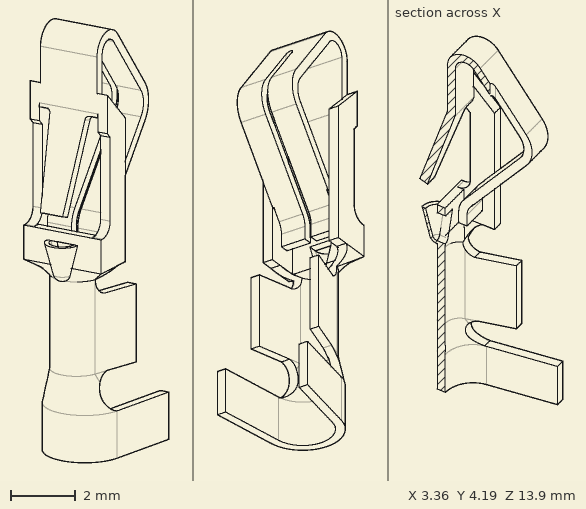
import cadquery as cq
import math


sheet = 0.3

insulation_top = 1.55
insulation_radius = 1.32
insulation_tip_half = 1.68
insulation_tip_y = 3.55
wire_bottom = 2.8
wire_top = 5.35
wire_radius = 0.84
wire_tip_half = 1.27
wire_tip_y = 2.31
flare_start = 5.87
relief_apex_y = 0.64
lower_relief_edge_y = 1.11
upper_relief_edge_y = 1.0

box_bottom = 6.33
box_half_width = 1.4
box_wall = 0.35
box_inner_half = box_half_width - box_wall
box_back_y = 1.43
floor_top = 7.45
floor_step_radius = 0.46
wall_front_y = 0.54
plate_y = 0.38
plate_inner_y = plate_y + sheet
plate_bottom_corner = 10.8
window_top = 11.39
plate_top = 12.05
shoulder_z = 11.02

overall_height = 13.92
spring_half_width = 1.03
top_bend_radius = 0.68
apex_bend_radius = 1.0
apex_y = 3.42
apex_z = 11.0
tongue_bend_radius = 0.92
tongue_face_y = 0.72
tongue_end_z = 6.96
tongue_half_width = 0.99
tongue_step_z = 8.16
spring_slot_half = 0.11
spring_slot_end_y = 1.96

lance_tip_y = -0.64
lance_tip_z = 8.2
lance_root_half = 0.64
lance_tip_half = 0.4
lance_root_length = 0.13
lance_corner_radius = 0.13

horn_top = 7.11
horn_radius = 0.55
horn_slope = 0.265
horn_tip_center_z = 6.15
horn_wall = 0.14


def closed_section(z, tip, base, arc_bottom_y=None):
    """Closed trough section at height z, its floor an arc or a straight line."""
    tip_left = cq.Vector(-tip[0], tip[1], z)
    tip_right = cq.Vector(tip[0], tip[1], z)
    base_left = cq.Vector(-base[0], base[1], z)
    base_right = cq.Vector(base[0], base[1], z)
    if arc_bottom_y is None:
        floor = cq.Edge.makeLine(base_left, base_right)
    else:
        bottom = cq.Vector(0, arc_bottom_y, z)
        floor = cq.Edge.makeThreePointArc(base_left, bottom, base_right)
    return cq.Wire.assembleEdges([
        cq.Edge.makeLine(tip_left, base_left),
        floor,
        cq.Edge.makeLine(base_right, tip_right),
        cq.Edge.makeLine(tip_right, tip_left),
    ])


def barrel_sections(z, radius, tip_half, tip_y):
    """Outer and inner sections of a U barrel with wings tangent to its round floor."""
    tip_rise = tip_y - radius
    lean = math.acos(radius / math.hypot(tip_half, tip_rise)) - math.atan2(tip_rise, tip_half)
    sections = []
    for r in (radius, radius - sheet):
        tip = ((r + tip_rise * math.sin(lean)) / math.cos(lean), tip_y)
        tangent = (r * math.cos(lean), radius - r * math.sin(lean))
        sections.append(closed_section(z, tip, tangent, radius - r))
    return sections


def insulation_sections(z):
    return barrel_sections(z, insulation_radius, insulation_tip_half, insulation_tip_y)


def wire_sections(z):
    return barrel_sections(z, wire_radius, wire_tip_half, wire_tip_y)


def box_sections(z):
    outer = closed_section(z, (box_half_width, box_back_y), (box_half_width, 0))
    inner = closed_section(z, (box_inner_half, box_back_y), (box_inner_half, sheet))
    return [outer, inner]


def trough(lower, upper):
    """Sheet trough between two pairs of outer and inner sections."""
    outer = cq.Solid.makeLoft([lower[0], upper[0]], True)
    inner = cq.Solid.makeLoft([lower[1], upper[1]], True)
    return cq.Workplane(outer).cut(cq.Workplane(inner))


def side_extrusion(outline, half_width):
    """Extrude a closed YZ outline to both sides of the middle plane."""
    return outline.extrude(half_width, both=True)


def side_relief(z_low, z_high, edge_y):
    """Rounded cutter that removes the wings between two sections."""
    outline = (
        cq.Workplane("YZ")
        .moveTo(edge_y, z_low)
        .threePointArc((relief_apex_y, (z_low + z_high) / 2), (edge_y, z_high))
        .lineTo(insulation_tip_y, z_high)
        .lineTo(insulation_tip_y, z_low)
        .close()
    )
    return side_extrusion(outline, insulation_tip_half)


def make_barrels():
    insulation = trough(insulation_sections(0), insulation_sections(insulation_top))
    wire = trough(wire_sections(wire_bottom), wire_sections(wire_top))
    lower_neck = trough(insulation_sections(insulation_top), wire_sections(wire_bottom))
    lower_neck = lower_neck.cut(side_relief(insulation_top, wire_bottom, lower_relief_edge_y))
    upper_neck = trough(wire_sections(wire_top), wire_sections(flare_start))
    flare = trough(wire_sections(flare_start), box_sections(box_bottom))
    relief = side_relief(wire_top, box_bottom, upper_relief_edge_y)
    return insulation.union(lower_neck).union(wire).union(upper_neck.cut(relief)).union(flare.cut(relief))


def make_box():
    corner_setback = wall_front_y - plate_y
    arc_y = wall_front_y - floor_step_radius
    arc_z = floor_top + floor_step_radius
    diagonal = floor_step_radius * math.sqrt(0.5)
    outline = (
        cq.Workplane("YZ")
        .moveTo(0, box_bottom)
        .lineTo(box_back_y, box_bottom)
        .lineTo(box_back_y, shoulder_z)
        .lineTo(plate_y, plate_top)
        .lineTo(plate_y, plate_bottom_corner)
        .lineTo(wall_front_y, plate_bottom_corner - corner_setback)
        .lineTo(wall_front_y, arc_z)
        .threePointArc((arc_y + diagonal, arc_z - diagonal), (arc_y, floor_top))
        .lineTo(0, floor_top)
        .close()
    )
    cavity = (
        cq.Workplane("YZ")
        .moveTo(sheet, box_bottom)
        .lineTo(box_back_y, box_bottom)
        .lineTo(box_back_y, plate_top)
        .lineTo(plate_inner_y, plate_top)
        .lineTo(plate_inner_y, window_top)
        .lineTo(0, window_top)
        .lineTo(0, floor_top)
        .lineTo(sheet, floor_top)
        .close()
    )
    return side_extrusion(outline, box_half_width).cut(side_extrusion(cavity, box_inner_half))


def polar_point(center, radius, angle):
    return (center[0] + radius * math.cos(angle), center[1] + radius * math.sin(angle))


def make_spring():
    top_center = (plate_y + top_bend_radius, overall_height - top_bend_radius)
    apex_center = (apex_y - apex_bend_radius, apex_z)
    top_mid_radius = top_bend_radius - sheet / 2
    apex_mid_radius = apex_bend_radius - sheet / 2
    tongue_mid_radius = tongue_bend_radius - sheet / 2

    run = apex_center[0] - top_center[0]
    drop = top_center[1] - apex_center[1]
    lean = math.atan2(run, drop) + math.asin((apex_bend_radius - top_bend_radius) / math.hypot(run, drop))

    arm_start = polar_point(apex_center, apex_mid_radius, -lean)
    tongue_center_y = tongue_face_y + tongue_bend_radius
    arm_end_y = tongue_center_y - tongue_mid_radius * math.cos(lean)
    arm_end_z = arm_start[1] - (arm_start[0] - arm_end_y) / math.tan(lean)
    tongue_center = (tongue_center_y, arm_end_z - tongue_mid_radius * math.sin(lean))

    plate_mid_y = plate_y + sheet / 2
    path = (
        cq.Workplane("YZ")
        .moveTo(plate_mid_y, window_top)
        .lineTo(plate_mid_y, top_center[1])
        .threePointArc(
            polar_point(top_center, top_mid_radius, (math.pi + lean) / 2),
            polar_point(top_center, top_mid_radius, lean),
        )
        .lineTo(*polar_point(apex_center, apex_mid_radius, lean))
        .threePointArc(polar_point(apex_center, apex_mid_radius, 0), arm_start)
        .lineTo(arm_end_y, arm_end_z)
        .threePointArc(
            polar_point(tongue_center, tongue_mid_radius, math.pi - lean / 2),
            polar_point(tongue_center, tongue_mid_radius, math.pi),
        )
        .lineTo(tongue_face_y + sheet / 2, tongue_end_z)
    )
    strip = (
        cq.Workplane("XY", origin=(0, plate_mid_y, window_top))
        .rect(2 * spring_half_width, sheet)
        .sweep(path)
    )

    slot_center_y = spring_slot_end_y + spring_slot_half
    upper_slot = (
        cq.Workplane("XY", origin=(0, 0, apex_z))
        .moveTo(-spring_slot_half, apex_y)
        .lineTo(-spring_slot_half, slot_center_y)
        .threePointArc((0, spring_slot_end_y), (spring_slot_half, slot_center_y))
        .lineTo(spring_slot_half, apex_y)
        .close()
        .extrude(overall_height - apex_z)
    )
    lower_slot = cq.Workplane("XY").box(
        2 * spring_slot_half, apex_y, apex_z - tongue_end_z, centered=(True, False, False)
    ).translate((0, 0, tongue_end_z))
    strip = strip.cut(upper_slot).cut(lower_slot)

    trim_width = spring_half_width - tongue_half_width
    for side in (-1, 1):
        trim = cq.Workplane("XY").box(
            trim_width, apex_y, tongue_step_z - tongue_end_z, centered=(True, False, False)
        )
        strip = strip.cut(trim.translate((side * (tongue_half_width + trim_width / 2), 0, tongue_end_z)))
    return strip


def make_lance():
    run = plate_y - lance_tip_y
    drop = window_top - lance_tip_z
    lean = math.atan2(run, drop)
    length = math.hypot(run, drop)
    embedded_length = sheet * math.tan(lean)

    lance_plane = cq.Plane(
        origin=(0, plate_y, window_top),
        xDir=(1, 0, 0),
        normal=(0, math.cos(lean), -math.sin(lean)),
    )
    corner_x = lance_root_half + lance_corner_radius
    corner_length = lance_root_length + lance_corner_radius
    diagonal = lance_corner_radius * math.sqrt(0.5)
    half_lance = (
        cq.Workplane(lance_plane)
        .moveTo(0, -embedded_length)
        .lineTo(box_inner_half, -embedded_length)
        .lineTo(box_inner_half, lance_root_length)
        .lineTo(corner_x, lance_root_length)
        .threePointArc((corner_x - diagonal, corner_length - diagonal), (lance_root_half, corner_length))
        .lineTo(lance_tip_half, length)
        .lineTo(0, length)
        .close()
        .extrude(sheet)
    )
    lance = half_lance.union(half_lance.mirror("YZ"))

    behind_plate = cq.Workplane("XY").box(
        2 * box_half_width, sheet, sheet, centered=(True, False, True)
    ).translate((0, plate_inner_y, window_top))
    return lance.cut(behind_plate)


def horn_outline(inset):
    """Half outline of a cone with a ball tip tangent to its flank, shrunk all round by inset."""
    taper = math.atan(horn_slope)
    top_radius = horn_radius - inset / math.cos(taper)
    ball_radius = (horn_radius - horn_slope * (horn_top - horn_tip_center_z)) * math.cos(taper) - inset
    mid_angle = (math.pi / 2 + taper) / 2
    tip_center = (0, horn_tip_center_z)
    return (
        cq.Workplane("XZ")
        .moveTo(0, horn_top)
        .lineTo(top_radius, horn_top)
        .lineTo(*polar_point(tip_center, ball_radius, -taper))
        .threePointArc(
            polar_point(tip_center, ball_radius, -mid_angle),
            polar_point(tip_center, ball_radius, -math.pi / 2),
        )
        .close()
    )


def half_horn(inset):
    """The half of the round horn that stands out of the floor to -Y."""
    return horn_outline(inset).revolve(180, (0, 0), (0, -1))


def add_horn(body):
    """Add the hollow horn and open it through the floor of the box."""
    half_opening = horn_outline(horn_wall).extrude(-sheet)
    opening = half_opening.union(half_opening.mirror("YZ"))
    return body.union(half_horn(0)).cut(half_horn(horn_wall)).cut(opening)


terminal = make_barrels().union(make_box()).union(make_spring()).union(make_lance())
result = add_horn(terminal)